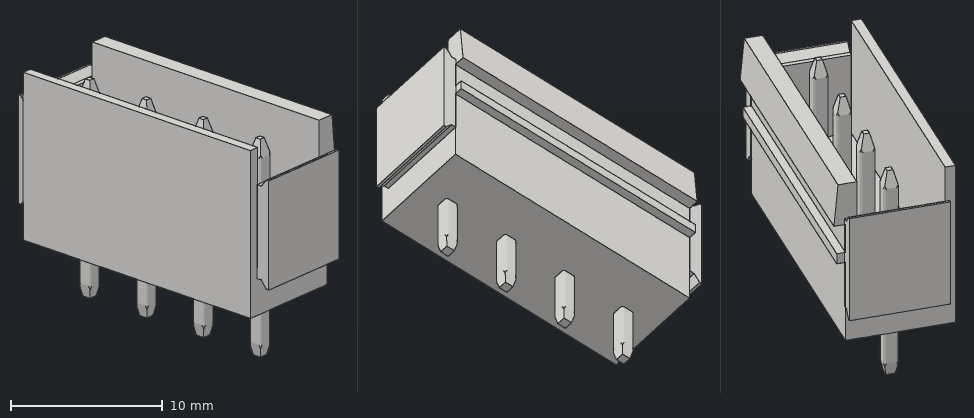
import cadquery as cq

overall_length = 22.0
overall_depth = 8.43
overall_height = 16.5

pin_count = 4
pin_pitch = 5.0
pin_width = 1.03
pin_edge_radius = 0.2
pin_top_z = 11.05
upper_tip_height = 1.23
upper_tip_width = 0.4
lower_tip_height = 0.97
lower_tip_width = 0.64

housing_length = pin_count * pin_pitch
housing_height = 12.01
front_y = -3.78
base_back_y = 3.85
floor_z = 3.4
cavity_front_y = -3.05
cavity_back_y = -cavity_front_y

latch_back_y = front_y + overall_depth
latch_top_y = 4.35
latch_bottom_z = 8.89

rib_back_y = 4.45
rib_bottom_z = 5.98
rib_height = 0.77

end_wall_thickness = (overall_length - housing_length) / 2
end_wall_height = 7.8
end_wall_mid_z = housing_height / 2
end_wall_front_y = -3.1
end_wall_depth = 7.0
dovetail_rim = 0.2
dovetail_neck = 0.35
dovetail_step = 0.55

pin_bottom_z = housing_height - overall_height
pin_xs = [(i - (pin_count - 1) / 2) * pin_pitch for i in range(pin_count)]


def trough():
    """Floor, front wall and latched back wall as one profile in the YZ plane."""
    profile = [
        (front_y, 0),
        (base_back_y, 0),
        (base_back_y, rib_bottom_z),
        (rib_back_y, rib_bottom_z),
        (rib_back_y, rib_bottom_z + rib_height),
        (base_back_y, rib_bottom_z + rib_height),
        (base_back_y, latch_bottom_z),
        (latch_back_y, latch_bottom_z),
        (latch_top_y, housing_height),
        (cavity_back_y, housing_height),
        (cavity_back_y, floor_z),
        (cavity_front_y, floor_z),
        (cavity_front_y, housing_height),
        (front_y, housing_height),
    ]
    return cq.Workplane("YZ").polyline(profile).close().extrude(housing_length / 2, both=True)


def end_wall(side):
    """Dovetail slab closing one end of the trough; side is -1 or +1 along X."""
    inner_x = housing_length / 2
    neck_x = inner_x + dovetail_neck
    outer_x = inner_x + end_wall_thickness
    rim_x = outer_x - dovetail_rim
    half_rim = end_wall_height / 2
    half_neck = half_rim - dovetail_step
    outline = [
        (inner_x, -half_neck),
        (neck_x, -half_neck),
        (rim_x, -half_rim),
        (outer_x, -half_rim),
        (outer_x, half_rim),
        (rim_x, half_rim),
        (neck_x, half_neck),
        (inner_x, half_neck),
    ]
    points = [(side * x, end_wall_mid_z + z) for x, z in outline]
    plane = cq.Workplane("XZ", origin=(0, end_wall_front_y, 0))
    return plane.polyline(points).close().extrude(-end_wall_depth)


def tapered_block(start_z, end_z, end_width):
    """Square block of pin width at start_z, tapering to end_width at end_z."""
    return (
        cq.Workplane("XY", origin=(0, 0, start_z))
        .rect(pin_width, pin_width)
        .workplane(offset=end_z - start_z)
        .rect(end_width, end_width)
        .loft()
    )


def make_pin(x):
    """Square pin with rounded long edges and a blunt pyramid tip at each end."""
    upper_shoulder_z = pin_top_z - upper_tip_height
    lower_shoulder_z = pin_bottom_z + lower_tip_height
    rounded_bar = (
        cq.Workplane("XY", origin=(0, 0, pin_bottom_z))
        .rect(pin_width, pin_width)
        .extrude(pin_top_z - pin_bottom_z)
        .edges("|Z")
        .fillet(pin_edge_radius)
    )
    pointed_bar = (
        tapered_block(lower_shoulder_z, upper_shoulder_z, pin_width)
        .union(tapered_block(upper_shoulder_z, pin_top_z, upper_tip_width))
        .union(tapered_block(lower_shoulder_z, pin_bottom_z, lower_tip_width))
    )
    return rounded_bar.intersect(pointed_bar).translate((x, 0, 0))


def make_housing(pins):
    """Trough with both end walls, pierced by a matching hole for every pin."""
    housing = trough().union(end_wall(-1)).union(end_wall(1))
    for pin in pins:
        housing = housing.cut(pin)
    return housing


pins = [make_pin(x) for x in pin_xs]
housing = make_housing(pins)

result = cq.Compound.makeCompound([housing.val(), *[pin.val() for pin in pins]])